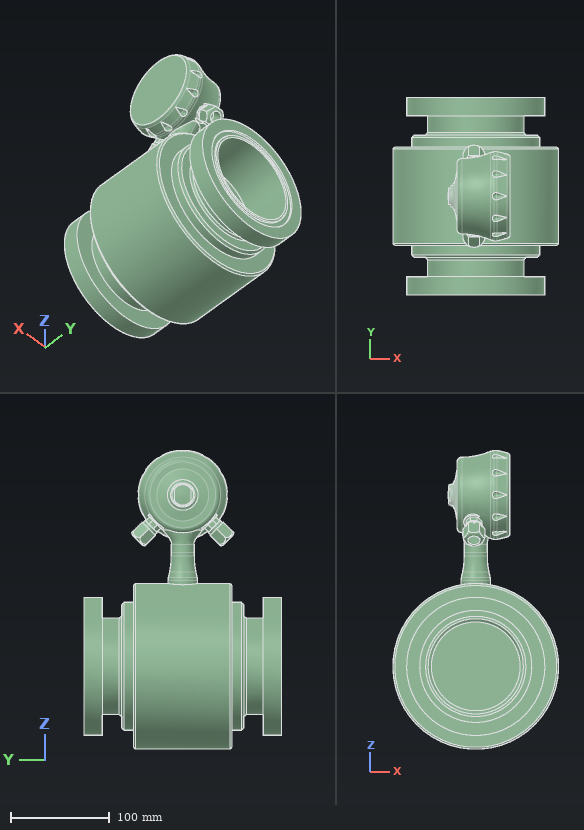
import cadquery as cq
import math

tube_half_length = 100.0
flange_diameter = 140.0
flange_thickness = 18.5
neck_diameter = 98.0
weld_diameter = 101.5
weld_length = 2.5
collar_diameter = 130.0
collar_half_length = 62.0
collar_chamfer = 2.7
body_diameter = 168.0
body_half_length = 50.0
body_chamfer = 2.0

bore_mouth_diameter = 96.4
bore_end_diameter = 90.0
bore_depth = tube_half_length - body_half_length
recess_outer_diameter = 113.5
recess_inner_diameter = 101.5
recess_depth = 2.0

stem_diameter = 23.5
stem_base_diameter = 30.0
stem_base_top = 87.2
stem_cone_bottom = 90.0
stem_cone_bottom_radius = 14.7
stem_cone_top = 95.4
stem_cone_top_radius = 13.5
stem_waist_bottom = 111.9
stem_waist_top = 115.5
stem_waist_diameter = 23.8
flare_bottom = 123.5
flare_middle = 128.5
flare_middle_half_widths = (12.4, 12.9)
flare_top = 138.0
flare_top_half_widths = (14.4, 20.0)

head_height = 173.6
head_back = -19.0
head_back_fillet = 5.0
case_back_radius = 38.3
case_front = 15.0
case_front_radius = 44.3
dish_outer_radius = 26.3
dish_inner_radius = 15.5
dish_inner_x = -21.0

button_base_radius = 12.3
button_base_x = -22.8
button_diameter = 22.0
button_step_x = -25.2
button_cap_diameter = 20.8
button_cap_x = -27.2
button_cap_flats = 16.69
button_tip_x = -28.2

cover_radius = 45.3
cover_land_start = 18.7
cover_land_end = 21.5
cover_taper_end = 31.5
cover_taper_end_radius = 42.8
cover_front = 34.5
cover_front_diameter = 81.2
notch_count = 12
notch_radius = 3.7
notch_center_x = 20.5
notch_tip_x = 32.0
notch_tip_radius = 43.0

gland_x = -1.8
gland_angle = 45.0
boss_start = 30.0
boss_end = 39.5
boss_diameter = 20.8
bushing_flats = 16.0
bushing_end = 45.2
cap_start = 48.5
cap_end = 65.0
cap_corner_diameter = 22.0
cap_round_radius = 5.0
cable_hole_diameter = 12.0
cable_hole_depth = 15.0


def revolve_about_y(points):
    """Revolve a closed (y, radius) outline about the Y axis."""
    return cq.Workplane("YZ").polyline(points).close().revolve(360, (0, 0), (1, 0))


def flow_tube():
    flange_inner = tube_half_length - flange_thickness
    half_outline = [
        (tube_half_length, flange_diameter / 2),
        (flange_inner, flange_diameter / 2),
        (flange_inner, neck_diameter / 2),
        (collar_half_length + weld_length, neck_diameter / 2),
        (collar_half_length, weld_diameter / 2),
        (collar_half_length, collar_diameter / 2 - collar_chamfer),
        (collar_half_length - collar_chamfer, collar_diameter / 2),
        (body_half_length, collar_diameter / 2),
        (body_half_length, body_diameter / 2 - body_chamfer),
        (body_half_length - body_chamfer, body_diameter / 2),
    ]
    mirrored = [(-y, r) for y, r in reversed(half_outline)]
    ends = [(-tube_half_length, 0), (tube_half_length, 0)]
    return revolve_about_y(half_outline + mirrored + ends)


def bore(side):
    """Tapered blind bore entering from the end at side * Y."""
    mouth = side * tube_half_length
    end = side * (tube_half_length - bore_depth)
    return revolve_about_y([(mouth, 0), (mouth, bore_mouth_diameter / 2), (end, bore_end_diameter / 2), (end, 0)])


def face_recess(side):
    """Shallow ring recess in the flange face at side * Y."""
    face = side * tube_half_length
    floor = side * (tube_half_length - recess_depth)
    outer = recess_outer_diameter / 2
    inner = recess_inner_diameter / 2
    return revolve_about_y([(face, inner), (face, outer), (floor, outer), (floor, inner)])


def stem():
    """Waisted post from inside the body up to the start of the flare."""
    root = (body_diameter - stem_base_diameter) / 2
    base = stem_base_diameter / 2
    waist = stem_waist_diameter / 2
    outline = (
        cq.Workplane("XZ")
        .moveTo(0, root)
        .lineTo(base, root)
        .lineTo(base, stem_base_top)
        .tangentArcPoint((stem_cone_bottom_radius, stem_cone_bottom), relative=False)
        .lineTo(stem_cone_top_radius, stem_cone_top)
        .tangentArcPoint((waist, stem_waist_bottom), relative=False)
        .lineTo(waist, stem_waist_top)
        .lineTo(stem_diameter / 2, flare_bottom)
        .lineTo(0, flare_bottom)
        .close()
    )
    return outline.revolve(360, (0, 0), (0, 1))


def stem_flare():
    """Flare from the round stem to an oval under the head, wider along Y than along X."""
    neck = stem_diameter / 2
    return (
        cq.Workplane("XY")
        .workplane(offset=flare_bottom)
        .ellipse(neck, neck)
        .workplane(offset=flare_middle - flare_bottom)
        .ellipse(*flare_middle_half_widths)
        .workplane(offset=flare_top - flare_middle)
        .ellipse(*flare_top_half_widths)
        .loft()
    )


def head_case():
    """Case and cover as one turned shape about the head axis."""
    case_start = head_back + head_back_fillet
    corner = head_back_fillet * (1 - math.sqrt(0.5))
    flare_rise = case_front_radius - case_back_radius
    flare_run = case_front - case_start
    case_curve = (flare_run**2 + flare_rise**2) / (2 * flare_rise)
    mid_run = flare_run / 2
    mid_rise = case_curve - math.sqrt(case_curve**2 - mid_run**2)
    outline = (
        cq.Workplane("XZ")
        .moveTo(dish_inner_x, 0)
        .lineTo(dish_inner_x, dish_inner_radius)
        .lineTo(head_back, dish_outer_radius)
        .lineTo(head_back, case_back_radius - head_back_fillet)
        .threePointArc(
            (head_back + corner, case_back_radius - corner),
            (case_start, case_back_radius),
        )
        .threePointArc(
            (case_start + mid_run, case_back_radius + mid_rise),
            (case_front, case_front_radius),
        )
        .lineTo(cover_land_start, cover_radius)
        .lineTo(cover_land_end, cover_radius)
        .lineTo(cover_taper_end, cover_taper_end_radius)
        .tangentArcPoint((cover_front, cover_front_diameter / 2), relative=False)
        .lineTo(cover_front, 0)
        .close()
    )
    return outline.revolve(360, (0, 0), (1, 0))


def sensor_button():
    """Stepped button on the dish, its cap cut to two flats across Y."""
    cap_radius = button_cap_diameter / 2
    body = (
        cq.Workplane("XZ")
        .polyline([
            (dish_inner_x, 0),
            (dish_inner_x, dish_inner_radius),
            (button_base_x, button_base_radius),
            (button_base_x, button_diameter / 2),
            (button_step_x, button_diameter / 2),
            (button_step_x, 0),
        ])
        .close()
        .revolve(360, (0, 0), (1, 0))
    )
    cap = (
        cq.Workplane("XZ")
        .polyline([
            (button_step_x, 0),
            (button_step_x, cap_radius),
            (button_cap_x, cap_radius),
            (button_tip_x, 0),
        ])
        .close()
        .revolve(360, (0, 0), (1, 0))
    )
    flats = cq.Workplane("XY").box(2 * abs(button_tip_x), button_cap_flats, button_cap_diameter)
    return body.union(cap.intersect(flats))


def grip_notch(angle):
    """Teardrop scoop lying on the cover taper, round at the back and pointed at the front."""
    run = notch_tip_x - notch_center_x
    drop = cover_radius - notch_tip_radius
    length = math.hypot(run, drop)
    slope = math.degrees(math.atan2(drop, run))
    tangent_angle = math.asin(notch_radius / length)
    teardrop = (
        cq.Workplane("XZ")
        .moveTo(-notch_radius, 0)
        .threePointArc(
            (0, notch_radius),
            (notch_radius * math.sin(tangent_angle), notch_radius * math.cos(tangent_angle)),
        )
        .lineTo(length, 0)
        .close()
        .revolve(360, (0, 0), (1, 0))
    )
    tilted = teardrop.rotate((0, 0, 0), (0, 1, 0), slope).translate((notch_center_x, 0, cover_radius))
    return tilted.rotate((0, 0, 0), (1, 0, 0), angle)


def transmitter_head():
    head = head_case().union(sensor_button())
    for index in range(notch_count):
        head = head.cut(grip_notch(index * 360 / notch_count))
    return head.translate((0, 0, head_height))


def place_gland(shape, side):
    """Move a shape built up the Z axis onto the gland axis sloping down towards side * Y."""
    return shape.rotate((0, 0, 0), (1, 0, 0), 180 + side * gland_angle).translate((gland_x, 0, head_height))


def cable_gland():
    """Round boss, octagonal bushing, round collar and rounded hexagonal cap along Z."""
    bushing_sides = 8
    bushing_corners = bushing_flats / math.cos(math.pi / bushing_sides)
    boss = (
        cq.Workplane("XY")
        .workplane(offset=boss_start)
        .circle(boss_diameter / 2)
        .extrude(boss_end - boss_start)
    )
    bushing = (
        cq.Workplane("XY")
        .workplane(offset=boss_end)
        .polygon(bushing_sides, bushing_corners)
        .extrude(bushing_end - boss_end)
        .rotate((0, 0, 0), (0, 0, 1), 180 / bushing_sides)
    )
    collar = (
        cq.Workplane("XY")
        .workplane(offset=bushing_end)
        .circle(bushing_corners / 2)
        .extrude(cap_start - bushing_end)
    )
    cap_length = cap_end - cap_start
    hexagon = cq.Workplane("XY").workplane(offset=cap_start).polygon(6, cap_corner_diameter).extrude(cap_length)
    rounding = (
        cq.Workplane("XY")
        .workplane(offset=cap_start)
        .circle(cap_corner_diameter / 2)
        .extrude(cap_length)
        .faces(">Z")
        .edges()
        .fillet(cap_round_radius)
    )
    return boss.union(bushing).union(collar).union(hexagon.intersect(rounding))


def cable_hole():
    return (
        cq.Workplane("XY")
        .workplane(offset=cap_end - cable_hole_depth)
        .circle(cable_hole_diameter / 2)
        .extrude(cable_hole_depth)
    )


result = flow_tube().union(stem()).union(transmitter_head()).union(stem_flare())
for side in (-1, 1):
    result = result.cut(bore(side)).cut(face_recess(side))
    result = result.union(place_gland(cable_gland(), side))
    result = result.cut(place_gland(cable_hole(), side))